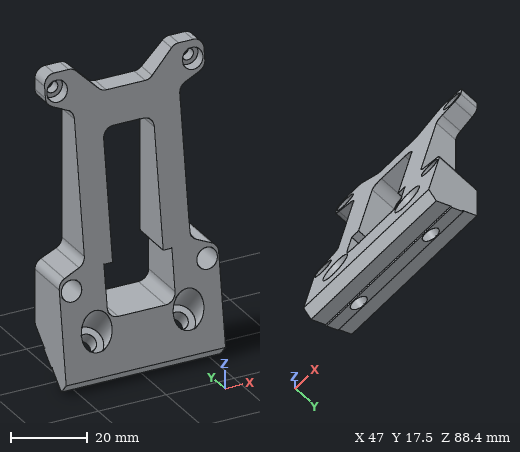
import cadquery as cq

HEIGHT = 88.4
WIDTH = 47.0
DEPTH = 17.5
HALF_WIDTH = WIDTH / 2

TOP_THICKNESS = 5.0
FOOT_HEEL_Z = 13.4
FOOT_TIP_Y = 14.8
FRONT_EDGE_Z = 3.1

RIB_WIDTH = 5.7
RIB_HEIGHT = 0.4

CORNER_RADIUS = 3.0
NECK_HALF_WIDTH = 15.55
SHOULDER_SLOPE = 0.45
UPPER_EAR_Z = 80.2
LOWER_EAR_Z = 31.4
TOP_NOTCH_Z = 80.4
TOP_NOTCH_HALF_WIDTH = 7.0

WINDOW_TOP_Z = 70.35
WINDOW_STEP_Z = 33.4
WINDOW_BOTTOM_Z = 18.5
WINDOW_UPPER_WIDTH = 14.85
WINDOW_LOWER_WIDTH = 20.0

EAR_HOLE_X = 20.0
EAR_HOLE_HEIGHTS = (28.4, 83.25)
EAR_HOLE_DIAMETER = 3.4
EAR_HEAD_DIAMETER = 6.0
EAR_FLOOR = 3.0

FOOT_HOLE_X = 13.5
FOOT_HOLE_DIAMETER = 5.0
FOOT_HEAD_DIAMETER = 9.0
FOOT_FLOOR = 4.5
CUT_LENGTH = 2 * DEPTH

foot_plane = cq.Plane(
    origin=(0, -FOOT_TIP_Y / 2, FOOT_HEEL_Z / 2),
    xDir=(1, 0, 0),
    normal=(0, -FOOT_HEEL_Z, FOOT_TIP_Y),
)


def make_wedge():
    """Side profile extruded over the full width."""
    profile = [
        (0, HEIGHT),
        (-TOP_THICKNESS, HEIGHT),
        (-DEPTH, FRONT_EDGE_Z),
        (-FOOT_TIP_Y, 0),
        (0, FOOT_HEEL_Z),
    ]
    return cq.Workplane("YZ").polyline(profile).close().extrude(HALF_WIDTH, both=True)


def make_outline():
    """Symmetric front outline with rounded ears, neck and top notch."""
    shoulder_rise = SHOULDER_SLOPE * (HALF_WIDTH - NECK_HALF_WIDTH)
    notch_top_half_width = TOP_NOTCH_HALF_WIDTH + HEIGHT - TOP_NOTCH_Z
    right_side = [
        (HALF_WIDTH, 0),
        (HALF_WIDTH, LOWER_EAR_Z),
        (NECK_HALF_WIDTH, LOWER_EAR_Z + shoulder_rise),
        (NECK_HALF_WIDTH, UPPER_EAR_Z - shoulder_rise),
        (HALF_WIDTH, UPPER_EAR_Z),
        (HALF_WIDTH, HEIGHT),
        (notch_top_half_width, HEIGHT),
        (TOP_NOTCH_HALF_WIDTH, TOP_NOTCH_Z),
    ]
    left_side = [(-x, z) for x, z in reversed(right_side)]
    block = cq.Workplane("XZ").polyline(right_side + left_side).close().extrude(DEPTH)
    above_foot = cq.selectors.BoxSelector(
        (-WIDTH, -CUT_LENGTH, LOWER_EAR_Z / 2), (WIDTH, CUT_LENGTH, 2 * HEIGHT)
    )
    return block.edges("|Y").edges(above_foot).fillet(CORNER_RADIUS)


def make_window():
    """Narrow upper slot over a wider lower opening, rounded at top and bottom."""

    def opening(width, bottom, top):
        return (
            cq.Workplane("XZ")
            .center(0, (bottom + top) / 2)
            .rect(width, top - bottom)
            .extrude(CUT_LENGTH / 2, both=True)
        )

    upper = opening(WINDOW_UPPER_WIDTH, WINDOW_STEP_Z, WINDOW_TOP_Z)
    lower = opening(WINDOW_LOWER_WIDTH, WINDOW_BOTTOM_Z, WINDOW_STEP_Z)
    upper = upper.edges("|Y and >Z").fillet(CORNER_RADIUS)
    lower = lower.edges("|Y and <Z").fillet(CORNER_RADIUS)
    return upper.union(lower)


def make_rib():
    """Shallow rib along X, centred on the foot; it overlaps the wedge to join it."""
    return cq.Workplane(foot_plane).box(WIDTH, RIB_WIDTH, 2 * RIB_HEIGHT)


def make_counterbore(plane, points, hole_diameter, head_diameter, floor):
    """Through holes along the plane normal, widened beyond the floor thickness."""
    holes = (
        cq.Workplane(plane).pushPoints(points).circle(hole_diameter / 2).extrude(CUT_LENGTH / 2, both=True)
    )
    heads = (
        cq.Workplane(plane)
        .workplane(offset=floor)
        .pushPoints(points)
        .circle(head_diameter / 2)
        .extrude(CUT_LENGTH)
    )
    return holes.union(heads)


ear_points = [(side * EAR_HOLE_X, z) for side in (-1, 1) for z in EAR_HOLE_HEIGHTS]
foot_points = [(side * FOOT_HOLE_X, 0) for side in (-1, 1)]

ear_screws = make_counterbore(
    cq.Plane.named("XZ"), ear_points, EAR_HOLE_DIAMETER, EAR_HEAD_DIAMETER, EAR_FLOOR
)
foot_screws = make_counterbore(
    foot_plane, foot_points, FOOT_HOLE_DIAMETER, FOOT_HEAD_DIAMETER, FOOT_FLOOR
)

result = make_wedge().intersect(make_outline()).union(make_rib())
result = result.cut(make_window()).cut(ear_screws).cut(foot_screws)